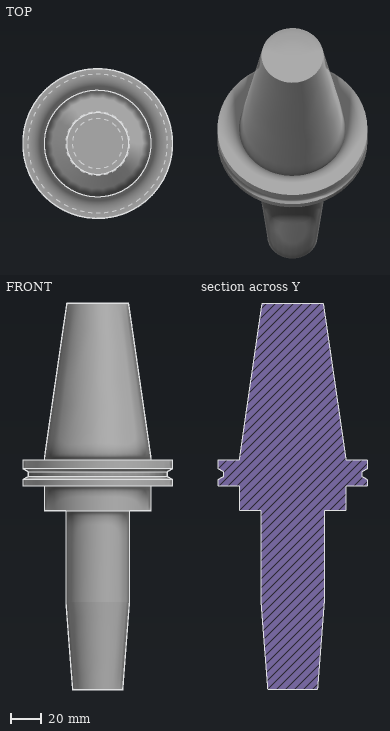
import cadquery as cq

total_height = 254.0
nose_taper_height = 57.7
shank_top = 117.5
flange_bottom = 133.9
flange_top = 151.1
taper_bottom = 152.7

nose_diameter = 33.0
shank_diameter = 42.0
collar_diameter = 70.0
flange_diameter = 98.5
taper_small_diameter = 40.6

groove_diameter = 91.5
groove_bottom = 138.2
groove_floor_bottom = 140.2
groove_floor_top = 143.3
groove_top = 145.3

section = [
    (0, 0),
    (nose_diameter, 0),
    (shank_diameter, nose_taper_height),
    (shank_diameter, shank_top),
    (collar_diameter, shank_top),
    (collar_diameter, flange_bottom),
    (flange_diameter, flange_bottom),
    (flange_diameter, groove_bottom),
    (groove_diameter, groove_floor_bottom),
    (groove_diameter, groove_floor_top),
    (flange_diameter, groove_top),
    (flange_diameter, flange_top),
    (collar_diameter, flange_top),
    (collar_diameter, taper_bottom),
    (taper_small_diameter, total_height),
    (0, total_height),
]

result = (
    cq.Workplane("XZ")
    .polyline([(diameter / 2, height) for diameter, height in section])
    .close()
    .revolve(360, (0, 0, 0), (0, 1, 0))
)